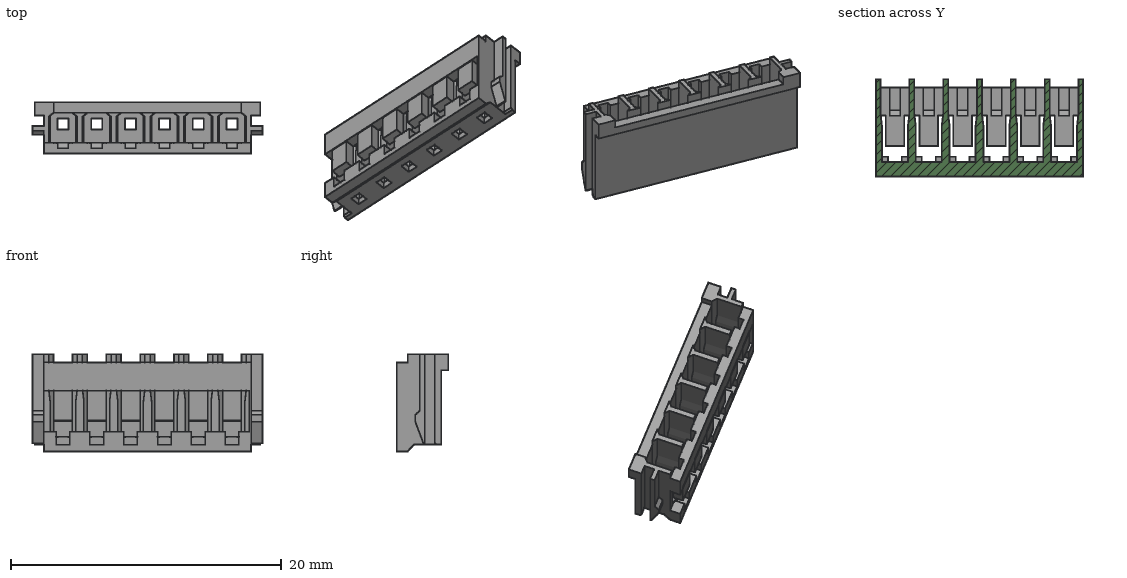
import cadquery as cq

cell_count = 6
pitch = 2.5

length = 17.0
depth = 3.8
height = 7.2

body_length = 15.3
body_back = depth - 0.51
body_bottom = 0.51
front_depth = 0.8
heel_slope = 0.48
front_top = 6.6
lip_bottom = 6.0

window_bottom = 1.48
window_top = 4.5
window_end_wall = 0.14
gap_width = 1.0

cell_width = 2.1
cell_lower_width = 1.9
cell_back_width = 1.4
cell_back = 3.01
corner_depth = 0.29
cell_floor = 1.09
taper_top = 4.59
taper_bottom = 3.74
hole_size = 0.8
hole_y = 2.2

latch_front = 0.05
latch_bottom_front = 2.31
latch_bottom_back = 2.25
notch_depth = 0.4

block_length = 16.66
block_front = 2.8
block_bottom_chamfer = 0.14
rib_back = 2.05
rib_front = 1.7
rib_bottom = 0.61
rib_tip = 1.97
bump_front = 1.38
bump_bottom = 2.2
bump_top = 2.72
bump_slope_top = 3.03

cell_centers = [(i - (cell_count - 1) / 2) * pitch for i in range(cell_count)]


def box(x_center, x_size, y_range, z_range):
    """Box centred on x_center in X and spanning the given ranges in Y and Z."""
    y_size = y_range[1] - y_range[0]
    z_size = z_range[1] - z_range[0]
    block = cq.Workplane("XY").box(x_size, y_size, z_size, centered=(True, False, False))
    return block.translate((x_center, y_range[0], z_range[0]))


def side_profile(points, x_center, x_size):
    """Prism along X from an outline of (Y, Z) points."""
    prism = cq.Workplane("YZ").polyline(points).close().extrude(x_size / 2, both=True)
    return prism.translate((x_center, 0, 0))


def body():
    outline = [
        (0, 0),
        (front_depth, 0),
        (front_depth + heel_slope, body_bottom),
        (body_back, body_bottom),
        (body_back, lip_bottom),
        (depth, lip_bottom),
        (depth, height),
        (front_depth, height),
        (front_depth, front_top),
        (0, front_top),
    ]
    return side_profile(outline, 0, body_length)


def end_blocks():
    """Corner blocks behind the ribs, carrying the ends of the lip."""
    outline = [
        (block_front + block_bottom_chamfer, body_bottom),
        (body_back, body_bottom),
        (body_back, lip_bottom),
        (depth, lip_bottom),
        (depth, height),
        (block_front, height),
        (block_front, body_bottom + block_bottom_chamfer),
    ]
    return side_profile(outline, 0, block_length)


def end_ribs():
    """Upright guide ribs with a locking bump near the bottom."""
    outline = [
        (rib_back, rib_bottom),
        (rib_back, height),
        (rib_front, height),
        (rib_front, bump_slope_top),
        (bump_front, bump_top),
        (bump_front, bump_bottom),
        (rib_tip, rib_bottom),
    ]
    return side_profile(outline, 0, length)


def cell(x):
    """Open-topped cell: chamfered back corners, side walls tapering inward below the mouth."""
    half_mouth = cell_width / 2
    half_lower = cell_lower_width / 2
    half_back = cell_back_width / 2
    plan = [
        (-half_mouth, front_depth),
        (half_mouth, front_depth),
        (half_mouth, cell_back - corner_depth),
        (half_back, cell_back),
        (-half_back, cell_back),
        (-half_mouth, cell_back - corner_depth),
    ]
    elevation = [
        (-half_lower, cell_floor),
        (half_lower, cell_floor),
        (half_lower, taper_bottom),
        (half_mouth, taper_top),
        (half_mouth, height),
        (-half_mouth, height),
        (-half_mouth, taper_top),
        (-half_lower, taper_bottom),
    ]
    plan_prism = cq.Workplane("XY").polyline(plan).close().extrude(height)
    elevation_prism = cq.Workplane("XZ").polyline(elevation).close().extrude(-depth)
    return plan_prism.intersect(elevation_prism).translate((x, 0, 0))


def latch(x):
    outline = [
        (latch_front, latch_bottom_front),
        (front_depth, latch_bottom_back),
        (front_depth, window_top),
        (latch_front, window_top),
    ]
    return side_profile(outline, x, cell_back_width)


def panel_notch(x):
    """Groove in the back of the front panel, ending in a 45 degree ramp above the window."""
    notch_front = front_depth - notch_depth
    outline = [
        (notch_front, front_top),
        (notch_front, window_top + notch_depth),
        (front_depth, window_top),
        (front_depth, front_top),
    ]
    return side_profile(outline, x, hole_size)


def terminal_hole(x):
    y_range = (hole_y - hole_size / 2, hole_y + hole_size / 2)
    return box(x, hole_size, y_range, (0, cell_floor))


result = body().union(end_blocks()).union(end_ribs())

wall_gap_length = cell_centers[-1] - cell_centers[0] + cell_back_width
result = result.cut(box(0, wall_gap_length, (cell_back, depth), (front_top, height)))

window_length = body_length - window_end_wall
window_center = -window_end_wall / 2
result = result.cut(box(window_center, window_length, (0, front_depth), (window_bottom, window_top)))

for center in cell_centers:
    result = result.cut(cell(center))
    result = result.cut(terminal_hole(center))
    result = result.cut(box(center, gap_width, (0, front_depth), (body_bottom, window_bottom)))
    result = result.union(latch(center))
    result = result.cut(panel_notch(center))